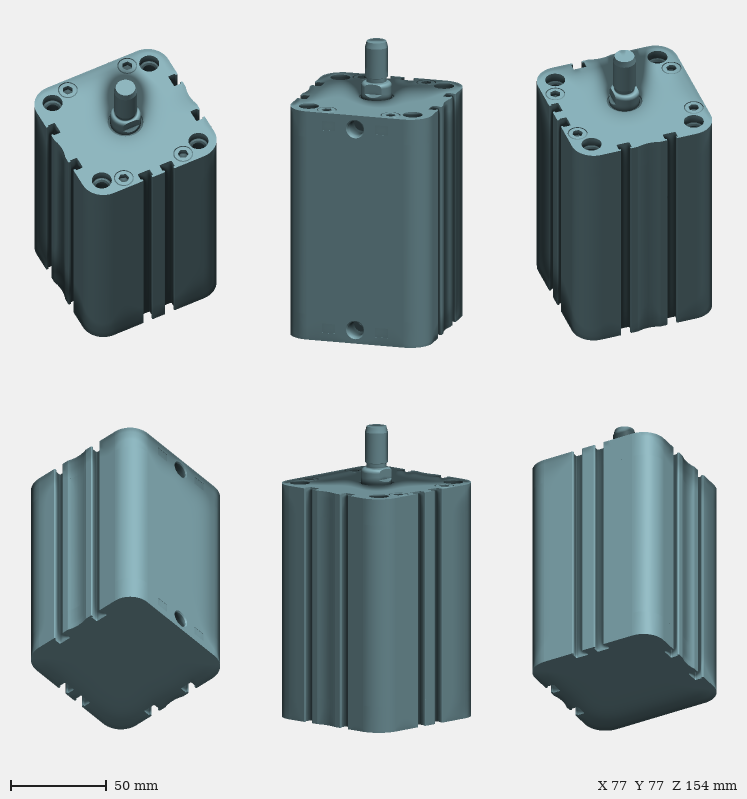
import cadquery as cq
import math

total_height = 154.0
body_width = 77.0
half_width = body_width / 2
corner_radius = 12.0
housing_height = 124.0
cap_height = 13.9
barrel_height = housing_height - 2 * cap_height
top_cap_base = cap_height + barrel_height

slot_spacing = 12.8
slot_opening = 5.2
slot_inner_width = 7.1
slot_lip = 1.2
slot_depth = 5.2
slot_edge_radius = 0.5
groove_half_width = 6.5
groove_depth = 1.1
groove_blend_radius = 1.2

port_end_distance = 7.4
port_diameter = 8.6
port_mouth_diameter = 10.0
port_depth = 12.3
passage_diameter = 4.0
passage_depth = 3.1
passage_rise = 1.1

label_offset = 14.5
label_width = 7.1
label_height = 5.1
label_depth = 0.2

mount_offset = 28.3
counterbore_diameter = 10.5
counterbore_depth = 5.0
mount_mouth_diameter = 8.3
mount_core_diameter = 6.6

screw_x = 32.2
screw_y = 17.4
screw_head_diameter = 10.3
screw_head_chamfer = 0.6
hex_across_flats = 5.0
hex_depth = 3.1
screw_places = [
    (-screw_x, screw_y, 30),
    (-screw_x, -screw_y, 30),
    (screw_x, screw_y, 0),
    (screw_x, -screw_y, 10),
]

rod_diameter = 16.0
rod_seat_mouth_diameter = 18.6
rod_seat_diameter = 18.0
rod_seat_depth = 0.8
rod_shoulder_z = 132.0
rod_shoulder_radius = 2.0
rod_across_flats = 13.1
rod_flat_bottom_z = 126.6
neck_diameter = 10.3
neck_fillet = 0.5
thread_diameter = 12.0
thread_start_z = 134.9
thread_tip_diameter = 10.3
thread_tip_height = 3.1


def slot_profile():
    """T-slot cross-section with its mouth centred on the origin and its floor toward -Y."""
    mouth = slot_opening / 2
    inner = slot_inner_width / 2
    edge = slot_edge_radius
    return (
        cq.Workplane("XY")
        .moveTo(-mouth - edge, 0)
        .radiusArc((-mouth, -edge), edge)
        .lineTo(-mouth, -slot_lip)
        .lineTo(-inner, -slot_lip)
        .lineTo(-inner, edge - slot_depth)
        .radiusArc((edge - inner, -slot_depth), -edge)
        .lineTo(inner - edge, -slot_depth)
        .radiusArc((inner, edge - slot_depth), -edge)
        .lineTo(inner, -slot_lip)
        .lineTo(mouth, -slot_lip)
        .lineTo(mouth, -edge)
        .radiusArc((mouth + edge, 0), edge)
        .close()
    )


def groove_profile():
    """Shallow concave groove whose edges blend tangentially into the flat face."""
    centre_distance = (groove_half_width**2 + groove_depth**2) / (2 * groove_depth)
    blend_share = groove_blend_radius / centre_distance
    tangent_x = groove_half_width * (1 - blend_share)
    tangent_y = -blend_share * groove_depth
    return (
        cq.Workplane("XY")
        .moveTo(-groove_half_width, 0)
        .radiusArc((-tangent_x, tangent_y), groove_blend_radius)
        .threePointArc((0, -groove_depth), (tangent_x, tangent_y))
        .radiusArc((groove_half_width, 0), groove_blend_radius)
        .close()
    )


def housing_section(base_z, height):
    """Extruded length of the slotted housing outline."""
    section = (
        cq.Workplane("XY")
        .rect(body_width, body_width)
        .extrude(height)
        .edges("|Z")
        .fillet(corner_radius)
    )
    slot = slot_profile().extrude(height)
    groove = groove_profile().extrude(height)
    for side_angle in (0, 180):
        for slot_x in (-slot_spacing, slot_spacing):
            cutter = slot.translate((slot_x, half_width, 0))
            section = section.cut(cutter.rotate((0, 0, 0), (0, 0, 1), side_angle))
        cutter = groove.translate((0, half_width, 0))
        section = section.cut(cutter.rotate((0, 0, 0), (0, 0, 1), side_angle))
    for slot_y in (-slot_spacing / 2, slot_spacing / 2):
        cutter = slot.translate((slot_y, half_width, 0))
        section = section.cut(cutter.rotate((0, 0, 0), (0, 0, 1), -90))
    return section.translate((0, 0, base_z))


def bore_with_chamfer(mouth_diameter, bore_diameter, depth):
    """Round cutter going down from Z = 0, with a 45 degree chamfer at its mouth."""
    mouth = mouth_diameter / 2
    bore = bore_diameter / 2
    return (
        cq.Workplane("XZ")
        .polyline([(0, 0), (mouth, 0), (bore, bore - mouth), (bore, -depth), (0, -depth)])
        .close()
        .revolve(360, (0, 0), (0, 1))
    )


def side_port(port_z):
    """Port cutter entering the -X face."""
    port = bore_with_chamfer(port_mouth_diameter, port_diameter, port_depth)
    return port.rotate((0, 0, 0), (0, 1, 0), -90).translate((-half_width, 0, port_z))


def add_labels(cap, base_z):
    """Cap with the two shallow label plates recessed in the -X face."""
    for label_y in (-label_offset, label_offset):
        plate = cq.Workplane("XY").box(2 * label_depth, label_width, label_height)
        cap = cap.cut(plate.translate((-half_width, label_y, base_z + cap_height / 2)))
    return cap


def mounting_hole():
    """Counterbored, countersunk hole going down from Z = 0 through the cap."""
    counterbore = cq.Workplane("XY").circle(counterbore_diameter / 2).extrude(-counterbore_depth)
    core_depth = cap_height - counterbore_depth
    core = bore_with_chamfer(mount_mouth_diameter, mount_core_diameter, core_depth)
    return counterbore.union(core.translate((0, 0, -counterbore_depth)))


def screw_head_cut(hex_angle):
    """Hex socket plus the ring left by the chamfered head, going down from Z = 0."""
    head = screw_head_diameter / 2
    ring = (
        cq.Workplane("XZ")
        .polyline([(head - screw_head_chamfer, 0), (head, 0), (head, -screw_head_chamfer)])
        .close()
        .revolve(360, (0, 0), (0, 1))
    )
    hex_across_corners = hex_across_flats / math.cos(math.radians(30))
    socket = cq.Workplane("XY").polygon(6, hex_across_corners).extrude(-hex_depth)
    return socket.rotate((0, 0, 0), (0, 0, 1), hex_angle).union(ring)


def make_barrel():
    """Solid length of the housing between the caps."""
    return housing_section(cap_height, barrel_height)


def make_bottom_cap():
    """End cap with a port and the small air passage behind it."""
    cap = housing_section(0, cap_height).cut(side_port(port_end_distance))
    passage = (
        cq.Workplane("YZ")
        .center(0, port_end_distance + passage_rise)
        .circle(passage_diameter / 2)
        .extrude(port_depth + passage_depth)
        .translate((-half_width, 0, 0))
    )
    return add_labels(cap.cut(passage), 0)


def make_top_cap():
    """End cap with a port, rod bore, mounting holes and screw heads."""
    cap = housing_section(top_cap_base, cap_height)
    cap = cap.cut(side_port(housing_height - port_end_distance))
    cap = add_labels(cap, top_cap_base)
    rod_bore = cq.Workplane("XY").circle(rod_diameter / 2).extrude(-cap_height)
    rod_seat = bore_with_chamfer(rod_seat_mouth_diameter, rod_seat_diameter, rod_seat_depth)
    cap = cap.cut(rod_bore.union(rod_seat).translate((0, 0, housing_height)))
    hole = mounting_hole()
    for hole_x in (-mount_offset, mount_offset):
        for hole_y in (-mount_offset, mount_offset):
            cap = cap.cut(hole.translate((hole_x, hole_y, housing_height)))
    for x, y, hex_angle in screw_places:
        cap = cap.cut(screw_head_cut(hex_angle).translate((x, y, housing_height)))
    return cap


def make_piston_rod():
    """Turned rod standing on the barrel, with two wrench flats below its threaded end."""
    rod = rod_diameter / 2
    neck = neck_diameter / 2
    thread = thread_diameter / 2
    shoulder = rod_shoulder_radius
    bend = shoulder * math.sqrt(0.5)
    shoulder_centre = (rod - shoulder, rod_shoulder_z - shoulder)
    turned = (
        cq.Workplane("XZ")
        .moveTo(0, top_cap_base)
        .lineTo(rod, top_cap_base)
        .lineTo(rod, rod_shoulder_z - shoulder)
        .threePointArc(
            (shoulder_centre[0] + bend, shoulder_centre[1] + bend),
            (rod - shoulder, rod_shoulder_z),
        )
        .lineTo(neck + neck_fillet, rod_shoulder_z)
        .radiusArc((neck, rod_shoulder_z + neck_fillet), neck_fillet)
        .lineTo(neck, thread_start_z - neck_fillet)
        .radiusArc((neck + neck_fillet, thread_start_z), neck_fillet)
        .lineTo(thread, thread_start_z)
        .lineTo(thread, total_height - thread_tip_height)
        .lineTo(thread_tip_diameter / 2, total_height)
        .lineTo(0, total_height)
        .close()
        .revolve(360, (0, 0), (0, 1))
    )
    flat_x = rod_across_flats / 2
    flat_cut = (
        cq.Workplane("XZ")
        .polyline([
            (flat_x, rod_shoulder_z),
            (flat_x, rod_flat_bottom_z),
            (rod, rod_flat_bottom_z - (rod - flat_x)),
            (rod, rod_shoulder_z),
        ])
        .close()
        .extrude(rod, both=True)
    )
    return turned.cut(flat_cut).cut(flat_cut.mirror("YZ"))


barrel = make_barrel()
bottom_cap = make_bottom_cap()
top_cap = make_top_cap()
piston_rod = make_piston_rod()

result = cq.Compound.makeCompound([
    barrel.solids().val(),
    bottom_cap.solids().val(),
    top_cap.solids().val(),
    piston_rod.solids().val(),
])